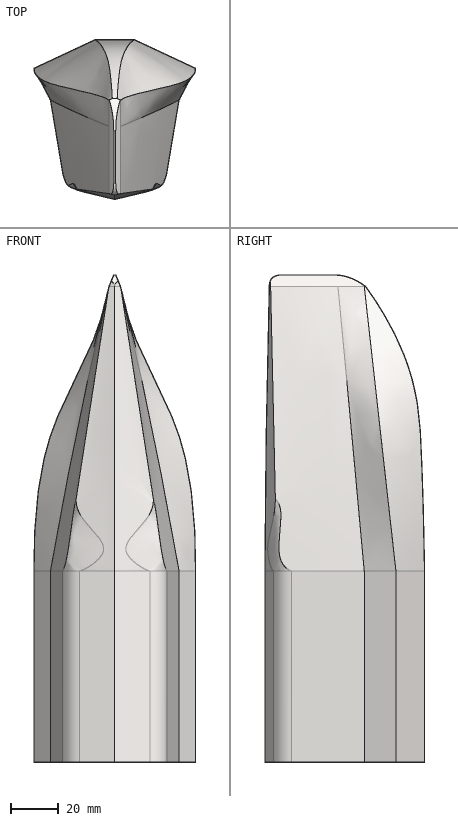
import cadquery as cq
import math

shank_top = 80.3
tip_base = 200.0
tip_top = 205.0

back_y = 33.6
back_flat_half = 8.2
wing_x, wing_y = 34.0, 21.5
waist_x, waist_y = 27.0, 8.2
front_x, front_y = 21.0, -28.5
ridge_y = -33.6
front_corner_radius = 9.5
runout_z = 110.7

tip_half = 2.5
tip_back_half = 1.0
tip_back_y = 8.8
tip_wing_y = 8.2
tip_waist_y = -2.9
tip_front_y = -31.2
tip_ridge_y = -31.8

crest_back_y = -5.0
crest_front_y = -26.2
crest_half = 0.5


def mirrored(points):
    """Reverse a list of points and reflect it across the YZ plane."""
    return [(-point[0],) + tuple(point[1:]) for point in reversed(points)]


def curve(points):
    return cq.Edge.makeSpline([cq.Vector(*point) for point in points])


def line(start, end):
    return cq.Edge.makeLine(cq.Vector(*start), cq.Vector(*end))


def wing_point(x, z):
    """Point on the wing edge, whose depth falls evenly with height."""
    rise = (z - shank_top) / (tip_base - shank_top)
    return (x, wing_y + rise * (tip_wing_y - wing_y), z)


def make_shank():
    half = [
        (back_flat_half, back_y),
        (wing_x, wing_y),
        (waist_x, waist_y),
        (front_x, front_y),
    ]
    shank = cq.Workplane("XY").polyline(half + [(0, ridge_y)] + mirrored(half)).close()
    shank = shank.extrude(shank_top)
    for x in (-front_x, front_x):
        corner = cq.selectors.NearestToPointSelector((x, front_y, shank_top / 2))
        shank = shank.edges(corner).fillet(front_corner_radius)
    return shank


def front_round():
    """Return the arc of the rounded front corner at the top of the shank."""
    corner = cq.Vector(front_x, front_y, shank_top)
    to_waist = (cq.Vector(waist_x, waist_y, shank_top) - corner).normalized()
    to_ridge = (cq.Vector(0, ridge_y, shank_top) - corner).normalized()
    tangent_length = front_corner_radius / math.tan(to_waist.getAngle(to_ridge) / 2)
    start = corner + to_waist * tangent_length
    end = corner + to_ridge * tangent_length
    return cq.Edge.makeTangentArc(start, to_waist * -1, end)


def front_corner_point(z):
    """Point on the straight front corner edge of the blade."""
    rise = (z - shank_top) / (tip_base - shank_top)
    x = front_x + rise * (tip_half - front_x)
    y = front_y + rise * (tip_front_y - front_y)
    return (x, y, z)


def make_blade():
    """Taper the shank to the tip; the front corner rounds run out into sharp edges."""
    back = [
        (back_flat_half, back_y, shank_top),
        (8.0, 33.5, 94.3),
        (7.0, 32.5, 121.0),
        (5.0, 30.0, 154.3),
        (3.3, 26.5, 167.2),
        (1.8, 19.0, 183.8),
        (tip_back_half, tip_back_y, tip_base),
    ]
    wing = [
        wing_point(wing_x, shank_top),
        wing_point(33.8, 94.3),
        wing_point(32.5, 110.9),
        wing_point(26.6, 138.5),
        wing_point(9.0, 177.5),
        wing_point(tip_half, tip_base),
    ]
    waist = [
        (waist_x, waist_y, shank_top),
        (21.7, 5.5, 109.7),
        (tip_half, tip_waist_y, tip_base),
    ]
    ridge = [
        (0, ridge_y, shank_top),
        (0, -33.5, 110.7),
        (0, -32.5, 164.0),
        (0, tip_ridge_y, tip_base),
    ]
    bottom_arc = front_round()
    side_end = bottom_arc.startPoint().toTuple()
    front_end = bottom_arc.endPoint().toTuple()
    runout = front_corner_point(runout_z)
    tip_front = (tip_half, tip_front_y, tip_base)

    back_edge, wing_edge, waist_edge, ridge_edge = map(curve, (back, wing, waist, ridge))
    front_edge = line(runout, tip_front)
    round_side = curve([side_end, (21.0, -25.8, 83.0), (19.3, -27.7, 91.5), runout])
    round_front = curve(
        [
            front_end,
            (8.6, -31.5, 83.8),
            (4.7, -32.4, 89.2),
            (8.6, -31.4, 96.7),
            (14.8, -29.7, 104.5),
            runout,
        ]
    )
    round_crown = [
        cq.Vector(8.6, -31.5, 89.2),
        cq.Vector(12.3, -30.5, 89.2),
        cq.Vector(16.4, -29.3, 89.2),
        cq.Vector(14.3, -30.1, 84.0),
        cq.Vector(14.3, -30.1, 96.3),
    ]

    flank = [
        waist_edge,
        line(waist[-1], tip_front),
        front_edge,
        round_side,
        line(side_end, waist[0]),
    ]
    front = [
        ridge_edge,
        line(ridge[-1], tip_front),
        front_edge,
        round_front,
        line(front_end, ridge[0]),
    ]
    half_faces = [
        cq.Face.makeRuledSurface(back_edge, wing_edge),
        cq.Face.makeRuledSurface(wing_edge, waist_edge),
    ]
    for boundary in (flank, front):
        half_faces.append(cq.Face.makeNSidedSurface(boundary, []))
    half_faces.append(cq.Face.makeNSidedSurface([bottom_arc, round_side, round_front], round_crown))
    faces = half_faces + [face.mirror("YZ") for face in half_faces]
    faces.append(cq.Face.makeRuledSurface(back_edge, back_edge.mirror("YZ")))

    tip_half_outline = [back[-1], wing[-1], waist[-1], tip_front]
    tip_outline = tip_half_outline + [ridge[-1]] + mirrored(tip_half_outline)
    faces.append(cq.Face.makeFromWires(cq.Wire.makePolygon(tip_outline, close=True)))
    faces.append(make_shank().faces(">Z").val())
    return cq.Workplane(cq.Solid.makeSolid(cq.Shell.makeShell(faces)))


def make_tip():
    """Roof-shaped crest, rounded at its back and front ends."""
    outline = [
        (tip_back_half, tip_back_y),
        (tip_half, tip_wing_y),
        (tip_half, tip_front_y),
    ]
    base = cq.Workplane("XY", origin=(0, 0, tip_base))
    base = base.polyline(outline + [(0, tip_ridge_y)] + mirrored(outline)).close()
    base = base.extrude(tip_top - tip_base)
    roof = (
        cq.Workplane("XZ", origin=(0, tip_back_y, 0))
        .moveTo(-tip_half, tip_base)
        .lineTo(-crest_half, tip_top)
        .lineTo(crest_half, tip_top)
        .lineTo(tip_half, tip_base)
        .close()
        .extrude(tip_back_y - tip_ridge_y)
    )
    side = (
        cq.Workplane("YZ", origin=(-tip_half, 0, 0))
        .moveTo(tip_back_y, tip_base)
        .spline([(crest_back_y, tip_top)], tangents=[(-1, 0.7), (-1, 0)], includeCurrent=True)
        .lineTo(crest_front_y, tip_top)
        .spline([(tip_ridge_y, tip_base)], tangents=[(-1, 0), (0, -1)], includeCurrent=True)
        .close()
        .extrude(2 * tip_half)
    )
    return base.intersect(roof).intersect(side)


result = make_shank().union(make_blade()).union(make_tip())